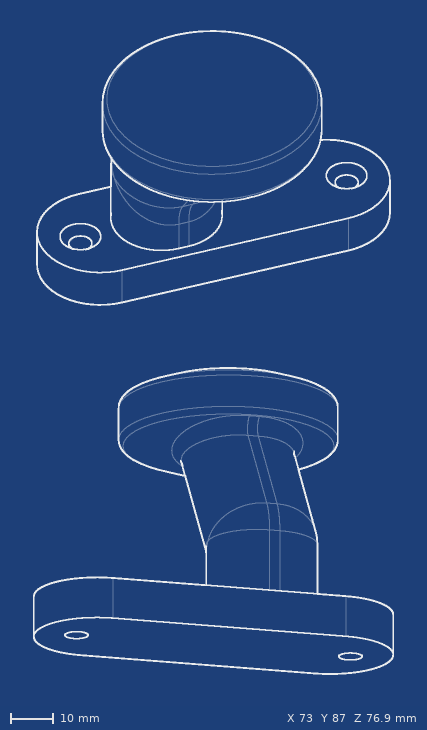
import cadquery as cq
import math

base_length = 87.0
base_width = 30.0
base_thickness = 10.0
screw_hole_offset = 33.5
screw_hole_diameter = 5.5
countersink_diameter = 9.7
countersink_angle = 90.0

stem_width = 24.0
stem_flat = 2.5
stem_y = -11.8
bend_z = 26.0

knob_offset = 32.0
knob_rise = 40.0
knob_diameter = 52.0
knob_side_height = 10.0
dome_radius = 60.0
knob_edge_radius = 1.7
neck_fillet_radius = 3.0

stem_radius = stem_width / 2
stem_depth = stem_width + stem_flat
upright_length = bend_z - base_thickness
lean_length = math.hypot(knob_offset, knob_rise)
lean_angle = math.degrees(math.atan2(knob_offset, knob_rise))
inner_corner_z = -stem_radius * math.tan(math.radians(lean_angle / 2))
knob_radius = knob_diameter / 2
dome_height = dome_radius - math.sqrt(dome_radius**2 - knob_radius**2)


def make_base():
    plate = cq.Workplane("XY").slot2D(base_length, base_width, 90).extrude(base_thickness)
    return (
        plate.faces(">Z")
        .workplane()
        .pushPoints([(0, -screw_hole_offset), (0, screw_hole_offset)])
        .cskHole(screw_hole_diameter, countersink_diameter, countersink_angle)
    )


def stem_section():
    return cq.Workplane("XY").slot2D(stem_depth, stem_width, 90)


def make_elbow():
    """Round outer corner of the bend: a cylinder along Y with ball ends."""
    elbow = cq.Workplane("XZ").circle(stem_radius).extrude(stem_flat / 2, both=True)
    for end_y in (-stem_flat / 2, stem_flat / 2):
        elbow = elbow.union(cq.Workplane("XY").sphere(stem_radius).translate((0, end_y, 0)))
    return elbow


def make_stem():
    """Bent stem with the centre of the bend at the origin and a fillet inside the bend."""
    upright = stem_section().extrude(-upright_length)
    lean = stem_section().extrude(lean_length).rotate((0, 0, 0), (0, 1, 0), lean_angle)
    stem = upright.union(lean).union(make_elbow())
    inner_corner = cq.selectors.NearestToPointSelector((stem_radius, 0, inner_corner_z))
    return stem.edges(inner_corner).fillet(stem_radius)


def make_knob():
    """Domed disc centred on the origin."""
    side_z = knob_side_height / 2
    top_z = side_z + dome_height
    arc_angle = math.asin(knob_radius / dome_radius) / 2
    mid_x = dome_radius * math.sin(arc_angle)
    mid_z = top_z - dome_radius * (1 - math.cos(arc_angle))
    knob = (
        cq.Workplane("XZ")
        .moveTo(0, -top_z)
        .threePointArc((mid_x, -mid_z), (knob_radius, -side_z))
        .lineTo(knob_radius, side_z)
        .threePointArc((mid_x, mid_z), (0, top_z))
        .close()
        .revolve(360, (0, 0, 0), (0, 1, 0))
    )
    return knob.edges(cq.selectors.RadiusNthSelector(0)).fillet(knob_edge_radius)


def make_handle():
    """Stem and knob in one piece, with a fillet where the stem runs into the knob."""
    knob = make_knob().translate((knob_offset, 0, knob_rise))
    handle = make_stem().union(knob)
    dome_top_z = knob_rise - knob_side_height / 2
    lower_dome = cq.selectors.BoxSelector(
        (0, -stem_depth, dome_top_z - dome_height),
        (knob_offset + stem_width, stem_depth, dome_top_z),
        boundingbox=True,
    )
    handle = handle.edges(lower_dome).fillet(neck_fillet_radius)
    return handle.translate((0, stem_y, bend_z))


base = make_base()
handle = make_handle()

result = cq.Compound.makeCompound([base.val(), handle.solids().val()])